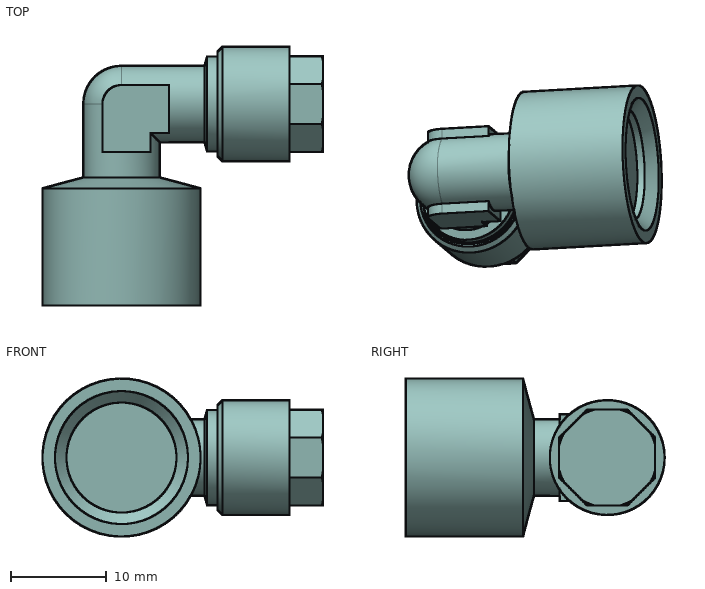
import cadquery as cq
import math


tube_radius = 4.0

socket_radius = 8.25
socket_end = 21.0
socket_shoulder = 8.78
shoulder_length = 1.15
mouth_radius = 6.93
bore_radius = 5.73
mouth_depth = 1.2
bore_depth = 2.0

collar_start = 8.65
collar_radius = 4.97
collar_taper_length = 0.25
nut_start = 10.0
nut_end = 17.52
nut_radius = 6.0
nut_chamfer = 0.53
nut_recess_radius = 5.2
nut_recess_depth = nut_recess_radius - collar_radius
octagon_end = 21.0
octagon_across_flats = 10.0
octagon_sides = 8
octagon_corner_radius = octagon_across_flats / 2 / math.cos(math.pi / octagon_sides)
octagon_face_radius = 5.18
octagon_bevel_length = 0.12

pad_height = 4.53
pad_outer = 2.0
pad_reach = 4.97
pad_inner = 3.0


def make_elbow():
    nut_leg = cq.Workplane("YZ").circle(tube_radius).extrude(collar_start)
    socket_leg = cq.Workplane("XZ").circle(tube_radius).extrude(socket_shoulder)
    bend = cq.Workplane("XY").sphere(tube_radius)
    return bend.union(nut_leg).union(socket_leg)


def make_pads():
    """L-shaped flats, built as one block passing through the elbow."""
    return (
        cq.Workplane("XY")
        .workplane(offset=-pad_height)
        .moveTo(0, pad_outer)
        .lineTo(pad_reach, pad_outer)
        .lineTo(pad_reach, -pad_inner)
        .lineTo(pad_inner, -pad_inner)
        .lineTo(pad_inner, -pad_reach)
        .lineTo(-pad_outer, -pad_reach)
        .lineTo(-pad_outer, 0)
        .radiusArc((0, pad_outer), pad_outer)
        .close()
        .extrude(2 * pad_height)
    )


def make_socket():
    """Revolved socket with a conical shoulder and a blind bore with a tapered mouth."""
    return (
        cq.Workplane("XY")
        .polyline([
            (0, -socket_shoulder + shoulder_length),
            (tube_radius, -socket_shoulder + shoulder_length),
            (socket_radius, -socket_shoulder),
            (socket_radius, -socket_end),
            (mouth_radius, -socket_end),
            (bore_radius, -socket_end + mouth_depth),
            (bore_radius, -socket_end + bore_depth),
            (0, -socket_end + bore_depth),
        ])
        .close()
        .revolve(360, (0, 0, 0), (0, 1, 0))
    )


def make_nut_end():
    collar_and_nut = (
        cq.Workplane("XY")
        .polyline([
            (collar_start, 0),
            (collar_start, tube_radius),
            (collar_start + collar_taper_length, collar_radius),
            (nut_start + nut_recess_depth, collar_radius),
            (nut_start, nut_recess_radius),
            (nut_start, nut_radius - nut_chamfer),
            (nut_start + nut_chamfer, nut_radius),
            (nut_end, nut_radius),
            (nut_end, 0),
        ])
        .close()
        .revolve(360, (0, 0, 0), (1, 0, 0))
    )
    octagon = (
        cq.Workplane("YZ")
        .workplane(offset=nut_end)
        .polygon(octagon_sides, 2 * octagon_corner_radius)
        .extrude(octagon_end - nut_end)
        .rotate((0, 0, 0), (1, 0, 0), 180 / octagon_sides)
    )
    corner_trim = (
        cq.Workplane("XY")
        .polyline([
            (nut_end, 0),
            (nut_end, octagon_corner_radius),
            (octagon_end - octagon_bevel_length, octagon_corner_radius),
            (octagon_end, octagon_face_radius),
            (octagon_end, 0),
        ])
        .close()
        .revolve(360, (0, 0, 0), (1, 0, 0))
    )
    return collar_and_nut.union(octagon.intersect(corner_trim))


result = make_elbow().union(make_pads()).union(make_socket()).union(make_nut_end())